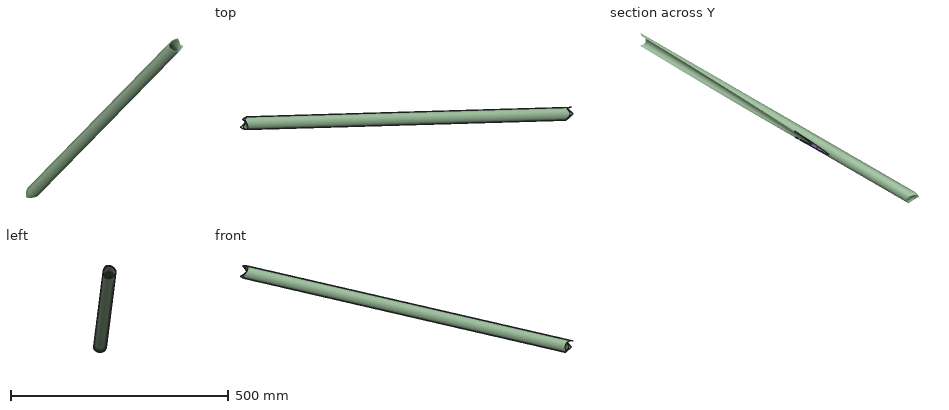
import cadquery as cq
import math

outer_radius = 15.0
wall = 1.5
inner_radius = outer_radius - wall

run_x = 759.89
run_y = 22.15
run_z = -175.04

seam_angle = -14.7
upper_cope_slope = 38.0
frame_tube_radius = outer_radius
frame_tube_reach = 4 * outer_radius

upper_node = cq.Vector(0, 0, 0)
lower_node = cq.Vector(run_x, run_y, run_z)
axis = (lower_node - upper_node).normalized()
tube_length = (lower_node - upper_node).Length
sideways = cq.Vector(0, 0, 1).cross(axis).normalized()
upward = axis.cross(sideways)


def radial(angle):
    """Unit vector square to the tube axis, turned from upward toward sideways (+Y)."""
    turn = math.radians(angle)
    return upward * math.cos(turn) + sideways * math.sin(turn)


def split_rod(radius):
    """Round rod between the nodes whose side is two half-round faces."""
    section_plane = cq.Plane(origin=upper_node, xDir=radial(seam_angle), normal=axis)
    return (
        cq.Workplane(section_plane)
        .moveTo(radius, 0)
        .threePointArc((0, radius), (-radius, 0))
        .threePointArc((0, -radius), (radius, 0))
        .close()
        .extrude(tube_length, clean=False)
    )


def crossing_tube(node, direction):
    """Solid round bar centred on a node and running both ways along a direction."""
    return cq.Workplane(
        obj=cq.Solid.makeCylinder(
            frame_tube_radius,
            2 * frame_tube_reach,
            node - direction * frame_tube_reach,
            direction,
        )
    )


def mitred_corner(node):
    """Corner of two bars, one to -Y and one to -Z from the node, mitred at 45 degrees."""
    reach = frame_tube_reach
    above_mitre = (
        cq.Workplane("YZ")
        .polyline([(-reach, -reach), (reach, reach), (-reach, reach)])
        .close()
        .extrude(reach, both=True)
        .translate(node)
    )
    y_bar = crossing_tube(node, cq.Vector(0, 1, 0)).intersect(above_mitre)
    z_bar = crossing_tube(node, cq.Vector(0, 0, 1)).cut(above_mitre)
    return y_bar.union(z_bar)


def sloping_bar(node):
    """Bar square to X that falls toward +Y."""
    fall = math.radians(upper_cope_slope)
    return crossing_tube(node, cq.Vector(0, math.cos(fall), -math.sin(fall)))


tube = split_rod(outer_radius).cut(split_rod(inner_radius), clean=False)
tube = tube.cut(sloping_bar(upper_node), clean=False)
result = tube.cut(mitred_corner(lower_node), clean=False)